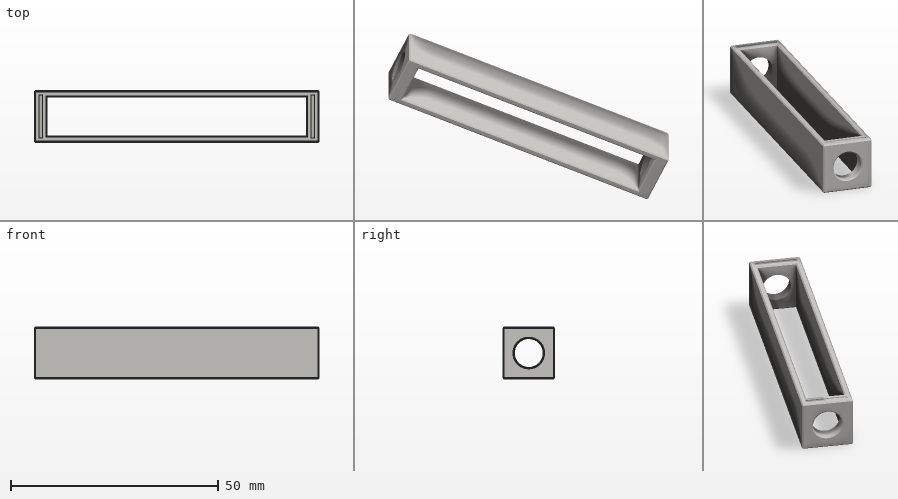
import cadquery as cq

unit = 12.5
beam_length = 5.5 * unit
window_length = 5 * unit
side_wall = unit / 8
chamfer = 0.3
hole_diameter = 7.0
slot_margin = 1.1
slot_depth = 0.2

end_wall = (beam_length - window_length) / 2
window_width = unit - 2 * side_wall
slot_width = end_wall - 2 * slot_margin
slot_length = unit - 2 * slot_margin
slot_center_x = (beam_length - end_wall) / 2


def make_body():
    """Square beam centred on the origin, bevelled on every outer edge."""
    return cq.Workplane("XY").box(beam_length, unit, unit).edges().chamfer(chamfer)


def cut_window(body):
    """Open the middle from top to bottom and bevel both rims."""
    window = cq.Workplane("XY").box(window_length, window_width, unit)
    body = body.cut(window)
    for side in (-1, 1):
        rim_bevel = (
            cq.Workplane("XY", origin=(0, 0, side * unit / 2))
            .rect(window_length + 2 * chamfer, window_width + 2 * chamfer)
            .workplane(offset=-side * chamfer)
            .rect(window_length, window_width)
            .loft(ruled=True)
        )
        body = body.cut(rim_bevel)
    return body


def cut_end_holes(body):
    """Drill both end walls along X and bevel the outer rims."""
    drill = cq.Workplane("YZ").circle(hole_diameter / 2).extrude(beam_length / 2, both=True)
    body = body.cut(drill)
    for face in (">X", "<X"):
        body = body.faces(face).edges("%CIRCLE").chamfer(chamfer)
    return body


def cut_end_slots(body):
    """Sink a shallow crosswise slot into the top of each end wall."""
    for side in (-1, 1):
        slot = (
            cq.Workplane("XY", origin=(side * slot_center_x, 0, unit / 2))
            .rect(slot_width, slot_length)
            .extrude(-slot_depth)
        )
        body = body.cut(slot)
    return body


result = cut_end_slots(cut_end_holes(cut_window(make_body())))